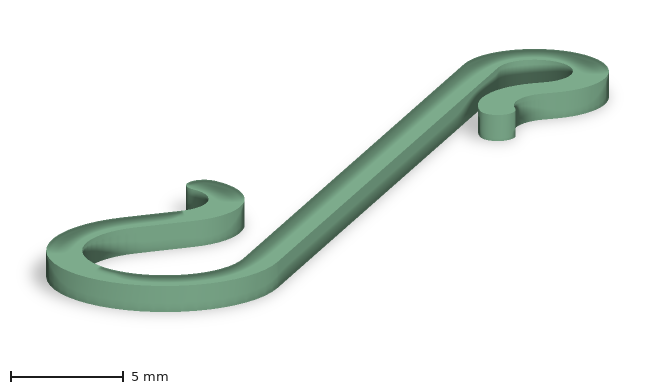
import cadquery as cq
import math

wire_width = 1.6
thickness = 1.2
half_width = wire_width / 2

large_loop_outer_radius = 5.28

hook_radius = 2.65
large_loop_radius = large_loop_outer_radius - half_width
small_loop_radius = 2.5
tail_radius = 2.62

large_loop_center = (large_loop_outer_radius, large_loop_outer_radius)
spine_x = large_loop_center[0] + large_loop_radius
overall_length = 39.1
small_loop_center = (spine_x + small_loop_radius, overall_length - small_loop_radius - half_width)
hook_center = (2.9, 12.55)
tail_center = (14.75, 31.3)

hook_tip_angle = 70.0
tail_tip_angle = 213.0


def crossing_tangent_angle(center_a, radius_a, center_b, radius_b):
    """Angle on circle A where the straight crossing over to circle B leaves it, in degrees."""
    dx = center_b[0] - center_a[0]
    dy = center_b[1] - center_a[1]
    swing = math.acos((radius_a + radius_b) / math.hypot(dx, dy))
    return math.degrees(math.atan2(dy, dx) + swing)


def polar(center, radius, angle):
    return (
        center[0] + radius * math.cos(math.radians(angle)),
        center[1] + radius * math.sin(math.radians(angle)),
    )


hook_exit = crossing_tangent_angle(hook_center, hook_radius, large_loop_center, large_loop_radius)
small_loop_exit = crossing_tangent_angle(small_loop_center, small_loop_radius, tail_center, tail_radius)

bends = [
    (hook_center, hook_radius, hook_tip_angle, hook_exit),
    (large_loop_center, large_loop_radius, hook_exit + 180, 360),
    (small_loop_center, small_loop_radius, 180, small_loop_exit),
    (tail_center, tail_radius, small_loop_exit + 180, tail_tip_angle),
]


def edge_arcs(side):
    """Start, middle and end points of the bends along one edge: side is 1 for left, -1 for right."""
    arcs = []
    for center, radius, start, end in bends:
        turn = math.copysign(1, end - start)
        edge_radius = radius - side * turn * half_width
        angles = (start, (start + end) / 2, end)
        arcs.append([polar(center, edge_radius, angle) for angle in angles])
    return arcs


def rounded_tip(center, radius, angle):
    """Outermost point of a free end that continues its bend counter-clockwise."""
    return polar(polar(center, radius, angle), half_width, angle + 90)


left_edge = edge_arcs(1)
right_edge = [arc[::-1] for arc in reversed(edge_arcs(-1))]
tail_tip = rounded_tip(tail_center, tail_radius, tail_tip_angle)
hook_tip = rounded_tip(hook_center, hook_radius, hook_tip_angle)


def add_edge(outline, arcs):
    """Append the bends of one edge, with straights between them."""
    for index, (start, middle, end) in enumerate(arcs):
        if index > 0:
            outline = outline.lineTo(*start)
        outline = outline.threePointArc(middle, end)
    return outline


strip_start = left_edge[0][0]
right_start = right_edge[0][0]
outline = add_edge(cq.Workplane("XY").moveTo(*strip_start), left_edge)
outline = outline.threePointArc(tail_tip, right_start)
outline = add_edge(outline, right_edge).threePointArc(hook_tip, strip_start)

result = outline.close().extrude(thickness)